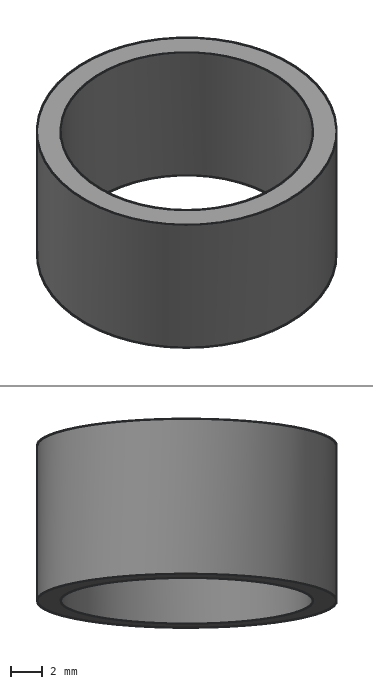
import cadquery as cq

outer_diameter = 19.0
wall_thickness = 1.5
height = 10.0

bore_diameter = outer_diameter - 2 * wall_thickness

result = (
    cq.Workplane("XY")
    .circle(outer_diameter / 2)
    .circle(bore_diameter / 2)
    .extrude(height)
)